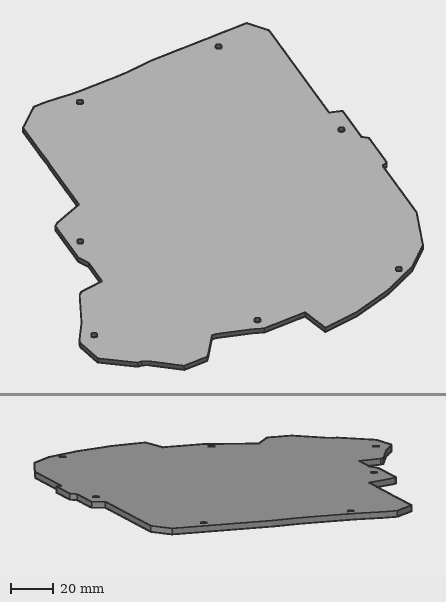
import cadquery as cq

length = 191.73
width = 183.78
thickness = 3.0
screw_hole_diameter = 3.0

upper_left_y = 174.8
shoulder_y = 181.0
lower_left_y = 41.8
tab_y = 25.3
notch_y = 28.0
right_edge_x = 178.3
thumb_edge_x = 181.7

nick_depth = 0.2

waist_center_y = 88.0
waist_depth = 1.4
waist_bend_depth = 1.2
waist_floor_half = 9.8
waist_bend_half = 15.3
waist_half = 28.2

top_edge = [
    (0, 167.6),
    (9.2, upper_left_y),
    (69.6, upper_left_y),
    (71.7, shoulder_y),
    (90.7, shoulder_y),
    (93.1, width),
    (111.1, width),
    (111.9, shoulder_y),
    (146.4, shoulder_y),
]

faceted_upper_right = [
    (166.3, 173.7),
    (176.4, 162.4),
    (184.3, 145.2),
    (189.8, 125.3),
    (length, 107.4),
]

right_edge = [
    (right_edge_x, 103.6),
    (right_edge_x, 81.7),
    (175.9, 75.8),
    (170.6, 59.3),
    (170.6, 57.5),
]

thumb_lobe = [
    (180.1, 50.4),
    (thumb_edge_x, 49.0),
    (thumb_edge_x, 36.6),
    (170.9, 22.9),
    (169.6, 20.1),
    (169.5, 18.1),
    (158.0, 2.6),
    (145.4, 0),
    (143.6, 0.4),
    (133.2, 7.2),
    (117.5, 14.6),
    (116.2, 16.4),
    (114.9, notch_y),
]

bottom_edge = [
    (101.4, notch_y),
    (96.2, tab_y),
    (72.9, tab_y),
    (71.5, 27.2),
    (65.9, lower_left_y),
    (36.7, lower_left_y),
    (33.2, lower_left_y + nick_depth),
    (28.3, lower_left_y),
    (9.6, lower_left_y),
    (0, 52.8),
]

left_waist = [
    (0, waist_center_y - waist_half),
    (waist_bend_depth, waist_center_y - waist_bend_half),
    (waist_depth, waist_center_y - waist_floor_half),
    (waist_depth, waist_center_y + waist_floor_half),
    (waist_bend_depth, waist_center_y + waist_bend_half),
    (0, waist_center_y + waist_half),
]

screw_hole_centers = [
    (82.1, 174.8),
    (174.6, 156.2),
    (7.1, 148.7),
    (172.0, 81.3),
    (7.6, 73.6),
    (87.3, 31.1),
    (143.9, 8.3),
]


def make_plate():
    """Flat plate with the full outer outline."""
    outline = top_edge + faceted_upper_right + right_edge + thumb_lobe + bottom_edge + left_waist
    return cq.Workplane("XY").polyline(outline).close().extrude(thickness)


def make_screw_holes():
    """Cylinders that pierce the plate at every screw position."""
    return (
        cq.Workplane("XY")
        .pushPoints(screw_hole_centers)
        .circle(screw_hole_diameter / 2)
        .extrude(thickness)
    )


result = make_plate().cut(make_screw_holes())